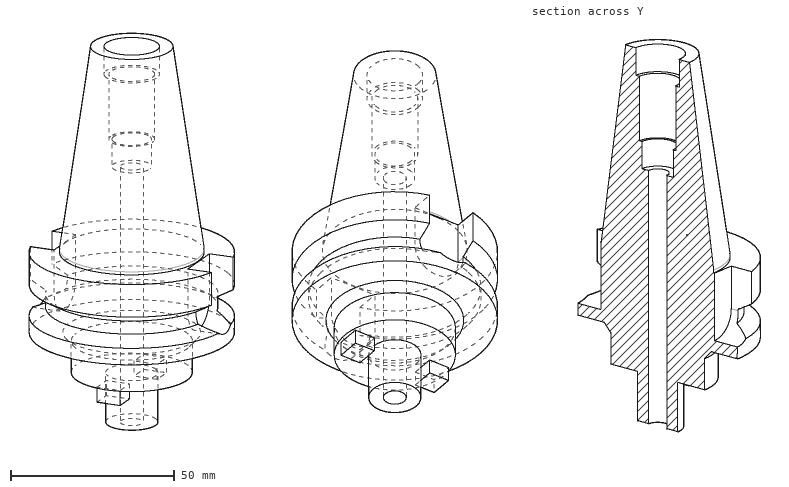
import cadquery as cq

TOTAL_HEIGHT = 121.4
HUB_BOTTOM = 16.0
HUB_TOP = 26.2
FLANGE_BOTTOM = 29.0
GROOVE_BOTTOM = 34.4
GROOVE_TOP = 44.4
FLANGE_TOP = 55.0
GAUGE_LEVEL = 56.0

SPIGOT_RADIUS = 8.0
HUB_RADIUS = 18.6
FLANGE_RADIUS = 31.5
GROOVE_ROOT_RADIUS = 26.5
GAUGE_RADIUS = 22.2
TAPER_RATIO = 7 / 24
TAPER_END_RADIUS = GAUGE_RADIUS - (TOTAL_HEIGHT - GAUGE_LEVEL) * TAPER_RATIO / 2

NECK_TOP_RADIUS = 21.1

GROOVE_FLANK_HEIGHT = 2.9

THROUGH_RADIUS = 3.5
DRILL_RADIUS = 6.1
RECESS_RADIUS = 7.0
COUNTERBORE_RADIUS = 8.5
COUNTERBORE_DEPTH = 9.0
RECESS_DEPTH = 30.0
DRILL_DEPTH = 38.8

SLOT_WIDTH = 16.1
SLOT_FLOOR_X = 22.5
SLOT_BOTTOM = 33.0

KEY_WIDTH = 7.8
KEY_HEIGHT = 4.9
KEY_INNER_Y = 10.3
KEY_OUTER_Y = 17.4


def turned_body():
    """Solid of revolution: spigot, hub, grooved flange and steep taper."""
    outline = [
        (0, 0),
        (SPIGOT_RADIUS, 0),
        (SPIGOT_RADIUS, HUB_BOTTOM),
        (HUB_RADIUS, HUB_BOTTOM),
        (HUB_RADIUS, HUB_TOP),
        (NECK_TOP_RADIUS, FLANGE_BOTTOM),
        (FLANGE_RADIUS, FLANGE_BOTTOM),
        (FLANGE_RADIUS, GROOVE_BOTTOM),
        (GROOVE_ROOT_RADIUS, GROOVE_BOTTOM + GROOVE_FLANK_HEIGHT),
        (GROOVE_ROOT_RADIUS, GROOVE_TOP - GROOVE_FLANK_HEIGHT),
        (FLANGE_RADIUS, GROOVE_TOP),
        (FLANGE_RADIUS, FLANGE_TOP),
        (GAUGE_RADIUS, FLANGE_TOP),
        (GAUGE_RADIUS, GAUGE_LEVEL),
        (TAPER_END_RADIUS, TOTAL_HEIGHT),
        (0, TOTAL_HEIGHT),
    ]
    return cq.Workplane("XZ").polyline(outline).close().revolve(360, (0, 0), (0, 1))


def bore(radius, depth):
    """Round cutter sunk from the small end of the taper."""
    return cq.Workplane("XY").workplane(offset=TOTAL_HEIGHT - depth).circle(radius).extrude(depth)


def drive_slot(side):
    """Round-bottomed slot cutter, open at the flange top; side is +1 or -1 along X."""
    half_width = SLOT_WIDTH / 2
    arc_level = SLOT_BOTTOM + half_width
    return (
        cq.Workplane("YZ")
        .workplane(offset=side * SLOT_FLOOR_X)
        .moveTo(-half_width, FLANGE_TOP)
        .lineTo(-half_width, arc_level)
        .threePointArc((0, SLOT_BOTTOM), (half_width, arc_level))
        .lineTo(half_width, FLANGE_TOP)
        .close()
        .extrude(side * FLANGE_RADIUS)
    )


def drive_key(side):
    """Rectangular key hanging from the hub; side is +1 or -1 along Y."""
    middle_y = side * (KEY_INNER_Y + KEY_OUTER_Y) / 2
    return (
        cq.Workplane("XY")
        .workplane(offset=HUB_BOTTOM)
        .center(0, middle_y)
        .rect(KEY_WIDTH, KEY_OUTER_Y - KEY_INNER_Y)
        .extrude(-KEY_HEIGHT)
    )


result = turned_body()
for side in (-1, 1):
    result = result.cut(drive_slot(side)).union(drive_key(side))

for radius, depth in (
    (COUNTERBORE_RADIUS, COUNTERBORE_DEPTH),
    (RECESS_RADIUS, RECESS_DEPTH),
    (DRILL_RADIUS, DRILL_DEPTH),
    (THROUGH_RADIUS, TOTAL_HEIGHT),
):
    result = result.cut(bore(radius, depth))